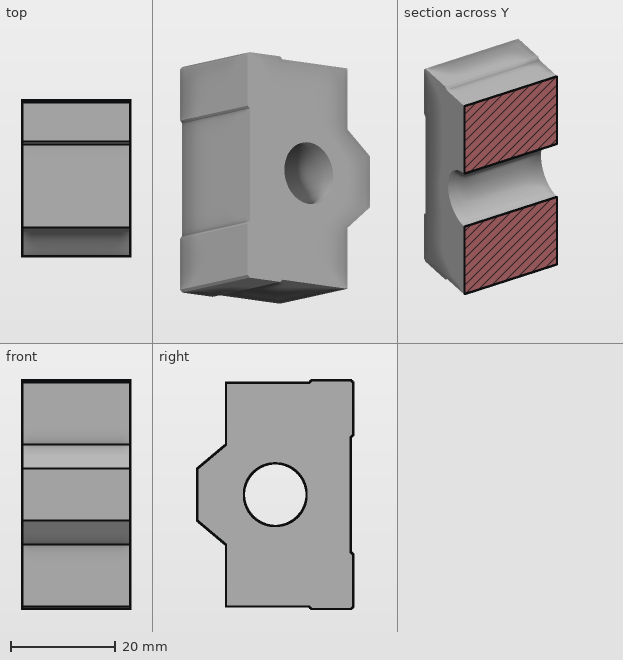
import cadquery as cq
import math

width = 20.8
depth = 30.0
height = 44.0
bore_diameter = 12.0

relief = 0.5
top_pad_length = 8.0
back_pad_height = 10.5

nose_length = 5.5
nose_tip_height = 10.0
nose_flank_angle = 40.0

back_y = depth / 2
tip_y = -depth / 2
shoulder_y = tip_y + nose_length
pad_end_y = back_y - top_pad_length
top_z = height / 2
pad_end_z = top_z - back_pad_height
nose_tip_z = nose_tip_height / 2
nose_root_z = nose_tip_z + nose_length * math.tan(math.radians(nose_flank_angle))


def make_body():
    """Extrude the YZ outline, mirrored about the Z = 0 plane, across the width."""
    upper_outline = [
        (tip_y, nose_tip_z),
        (shoulder_y, nose_root_z),
        (shoulder_y, top_z - relief),
        (pad_end_y - relief, top_z - relief),
        (pad_end_y, top_z),
        (back_y - relief, top_z),
        (back_y, top_z - relief),
        (back_y, pad_end_z),
        (back_y - relief, pad_end_z - relief),
    ]
    lower_outline = [(y, -z) for y, z in reversed(upper_outline)]
    outline = cq.Workplane("YZ").polyline(upper_outline + lower_outline).close()
    return outline.extrude(width / 2, both=True)


def make_bore():
    """Through bore along the full width."""
    return cq.Workplane("YZ").circle(bore_diameter / 2).extrude(width / 2, both=True)


result = make_body().cut(make_bore())